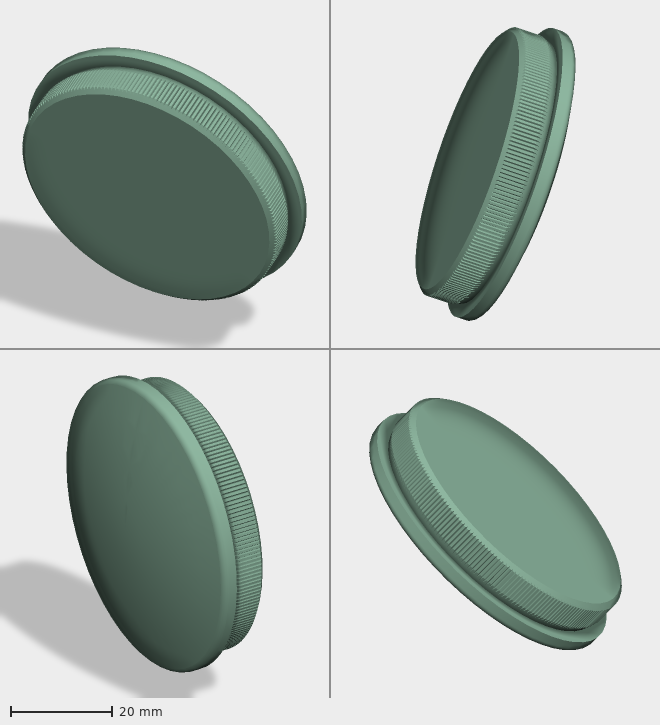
import cadquery as cq
import math

flange_radius = 30.15
total_depth = 15.5

plug_depth = 7.95
plug_radius = 28.0
plug_face_radius = 26.9
front_chamfer_depth = 0.95
shoulder_depth = 1.9
shoulder_radius = 27.25

rim_depth = 1.85
dome_start_radius = 29.25
dome_start_depth = 3.15

groove_count = 210
groove_width = 0.35
groove_depth = 0.35
cutter_overshoot = 0.25

rim_y = plug_depth + rim_depth
dome_start_y = plug_depth + dome_start_depth


def turned_body():
    rise = total_depth - dome_start_y
    dome_radius = (dome_start_radius**2 + rise**2) / (2 * rise)
    middle_radius = dome_start_radius / 2
    middle_y = total_depth - dome_radius + math.sqrt(dome_radius**2 - middle_radius**2)
    return (
        cq.Workplane("ZY")
        .lineTo(plug_face_radius, 0)
        .lineTo(plug_radius, front_chamfer_depth)
        .lineTo(plug_radius, plug_depth - shoulder_depth)
        .lineTo(shoulder_radius, plug_depth)
        .lineTo(flange_radius, plug_depth)
        .lineTo(flange_radius, rim_y)
        .tangentArcPoint((dome_start_radius, dome_start_y), relative=False)
        .threePointArc((middle_radius, middle_y), (0, total_depth))
        .close()
        .revolve(360, (0, 0, 0), (0, 1, 0))
    )


def groove_cutters():
    root_radius = plug_radius - groove_depth
    outer_half_width = groove_width / 2 * (groove_depth + cutter_overshoot) / groove_depth
    cutter = (
        cq.Workplane("ZX")
        .moveTo(root_radius, 0)
        .lineTo(plug_radius + cutter_overshoot, outer_half_width)
        .lineTo(plug_radius + cutter_overshoot, -outer_half_width)
        .close()
        .extrude(plug_depth)
        .val()
    )
    step = 360 / groove_count
    turned = [cutter.rotate((0, 0, 0), (0, 1, 0), i * step) for i in range(groove_count)]
    return cq.Workplane(cq.Compound.makeCompound(turned))


result = turned_body().cut(groove_cutters())